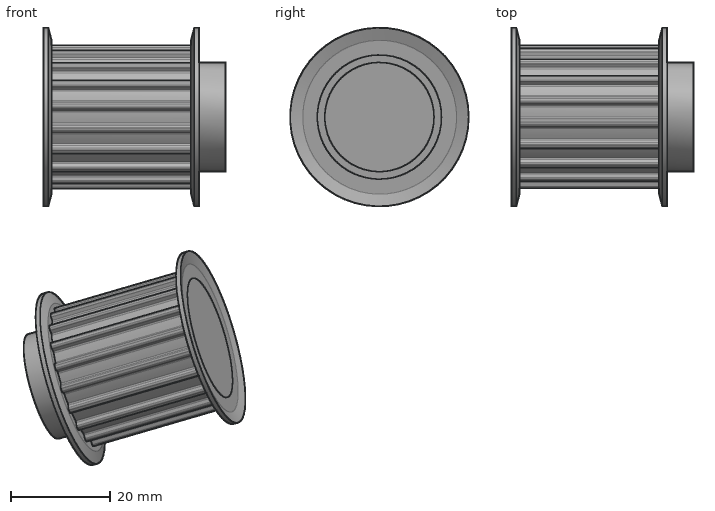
import cadquery as cq
import math

overall_length = 36.67
hub_length = 5.3
hub_diameter = 22.0
flanged_length = overall_length - hub_length

flange_diameter = 36.0
flange_thickness = 1.0
flange_flat_diameter = 31.0
flange_bore_diameter = 25.0
flange_dish = 0.65

tooth_count = 19
tip_diameter = 29.0
groove_depth = 1.2
groove_root_width = 2.5
groove_flank_angle = 25.0
root_fillet = 0.33
tip_fillet = 0.45

tip_radius = tip_diameter / 2
root_radius = tip_radius - groove_depth
middle_radius = (root_radius + tip_radius) / 2
tooth_pitch_angle = 360 / tooth_count
teeth_start = flange_dish + flange_thickness
teeth_end = flanged_length - teeth_start

groove_half_width = groove_root_width / 2
groove_half_height = math.sqrt(root_radius**2 - groove_half_width**2)
flank_slope = math.radians(groove_flank_angle)
flank_offset = groove_half_height * math.sin(flank_slope) - groove_half_width * math.cos(flank_slope)
root_corner_angle = math.degrees(math.asin(groove_half_width / root_radius))
tip_corner_angle = groove_flank_angle - math.degrees(math.asin(flank_offset / tip_radius))


def polar(radius, angle):
    """Point in the YZ plane, with the angle in degrees from -Y towards +Z."""
    turn = math.radians(angle)
    return (-radius * math.cos(turn), radius * math.sin(turn))


def distance_from_axis(edge):
    """Distance of an edge parallel to X from the X axis."""
    centre = edge.Center()
    return math.hypot(centre.y, centre.z)


def make_toothed_section():
    """Extruded belt teeth, with one groove centred on -Y."""
    outline = cq.Workplane("YZ", origin=(teeth_start, 0, 0)).moveTo(*polar(root_radius, -root_corner_angle))
    for index in range(tooth_count):
        groove = index * tooth_pitch_angle
        tooth = groove + tooth_pitch_angle / 2
        next_groove = groove + tooth_pitch_angle
        outline = (
            outline.threePointArc(polar(root_radius, groove), polar(root_radius, groove + root_corner_angle))
            .lineTo(*polar(tip_radius, groove + tip_corner_angle))
            .threePointArc(polar(tip_radius, tooth), polar(tip_radius, next_groove - tip_corner_angle))
            .lineTo(*polar(root_radius, next_groove - root_corner_angle))
        )
    teeth = outline.close().extrude(teeth_end - teeth_start)

    teeth = teeth.edges("|X").filter(lambda edge: distance_from_axis(edge) < middle_radius).fillet(root_fillet)
    tip_zone_radius = tip_radius - tip_fillet / 2
    return teeth.edges("|X").filter(lambda edge: distance_from_axis(edge) > tip_zone_radius).fillet(tip_fillet)


def make_cylinder(diameter, start, end):
    """Solid cylinder on the X axis between two X positions."""
    return cq.Workplane("YZ", origin=(start, 0, 0)).circle(diameter / 2).extrude(end - start)


def make_pulley():
    """Toothed section with a flange seat at each end and the hub at +X."""
    seats = make_cylinder(flange_bore_diameter, flange_dish, flanged_length - flange_dish)
    hub = make_cylinder(hub_diameter, flanged_length - flange_dish, overall_length)
    return make_toothed_section().union(seats).union(hub)


def make_flange(rim_face, inward):
    """Dished ring with its rim at X = rim_face; inward is the X sign towards the teeth."""
    flat_face = rim_face + inward * flange_dish
    thickness = inward * flange_thickness
    profile = [
        (flat_face, flange_bore_diameter / 2),
        (flat_face, flange_flat_diameter / 2),
        (rim_face, flange_diameter / 2),
        (rim_face + thickness, flange_diameter / 2),
        (flat_face + thickness, flange_flat_diameter / 2),
        (flat_face + thickness, flange_bore_diameter / 2),
    ]
    return cq.Workplane("XY").polyline(profile).close().revolve(360, (0, 0, 0), (1, 0, 0))


pulley = make_pulley()
flanges = [make_flange(0, 1), make_flange(flanged_length, -1)]

result = cq.Compound.makeCompound([pulley.val(), *[flange.val() for flange in flanges]])